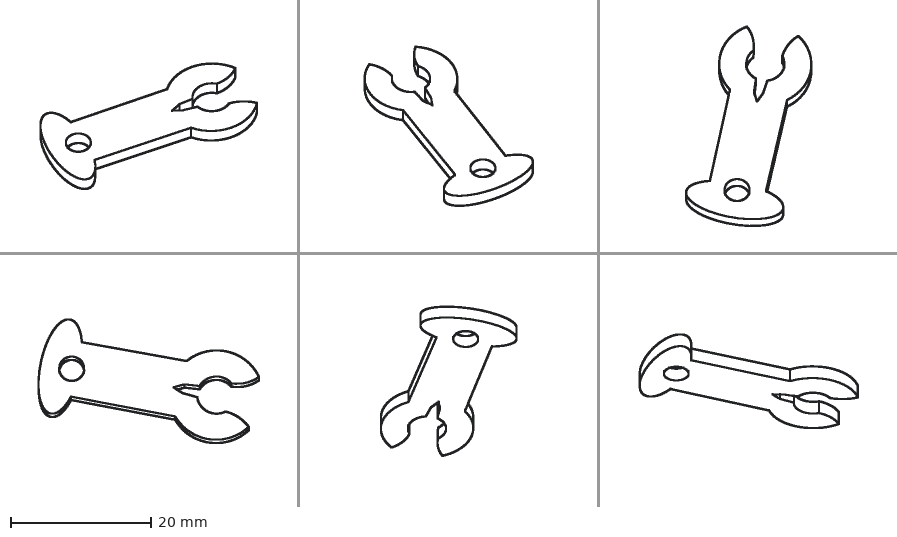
import cadquery as cq

length = 30.92
thickness = 2.0
foot_width = 14.1
foot_height = 5.75

hole_diameter = 3.55
hole_y = 4.5

stem_bottom_left = (-4.1, 5.2)
stem_bottom_right = (4.05, 5.2)
stem_top_left = (-4.33, 20.35)
stem_top_right = (4.0, 20.35)

jaw_x = -0.25
jaw_y = 25.45
jaw_radius = 6.6
bore_radius = 2.72
tip_left = (-4.05, length)
tip_right = (3.43, length)

throat_half_width = 2.1
throat_y = 27.25
flare_middle_half_width = 2.5
flare_middle_y = 29.05

slit_half_width = 0.85
slit_top_y = 22.88
slit_shoulder_half_width = 0.65
slit_shoulder_y = 20.72
slit_end = (-0.15, 19.25)


def beside_jaw_axis(offset, y):
    """Point at a sideways offset from the jaw centre line."""
    return (jaw_x + offset, y)


def make_foot():
    return (
        cq.Workplane("XY")
        .center(0, foot_height / 2)
        .ellipse(foot_width / 2, foot_height / 2)
        .extrude(thickness)
    )


def make_stem_and_jaws():
    foot_middle_y = foot_height / 2
    return (
        cq.Workplane("XY")
        .moveTo(stem_bottom_left[0], foot_middle_y)
        .lineTo(*stem_bottom_left)
        .lineTo(*stem_top_left)
        .threePointArc(beside_jaw_axis(-jaw_radius, jaw_y), tip_left)
        .threePointArc(
            beside_jaw_axis(-flare_middle_half_width, flare_middle_y),
            beside_jaw_axis(-throat_half_width, throat_y),
        )
        .threePointArc(
            beside_jaw_axis(-bore_radius, jaw_y),
            beside_jaw_axis(-slit_half_width, slit_top_y),
        )
        .lineTo(*beside_jaw_axis(-slit_shoulder_half_width, slit_shoulder_y))
        .lineTo(*slit_end)
        .lineTo(*beside_jaw_axis(slit_shoulder_half_width, slit_shoulder_y))
        .lineTo(*beside_jaw_axis(slit_half_width, slit_top_y))
        .threePointArc(
            beside_jaw_axis(bore_radius, jaw_y),
            beside_jaw_axis(throat_half_width, throat_y),
        )
        .threePointArc(
            beside_jaw_axis(flare_middle_half_width, flare_middle_y),
            tip_right,
        )
        .threePointArc(beside_jaw_axis(jaw_radius, jaw_y), stem_top_right)
        .lineTo(*stem_bottom_right)
        .lineTo(stem_bottom_right[0], foot_middle_y)
        .close()
        .extrude(thickness)
    )


def make_hole():
    return (
        cq.Workplane("XY")
        .center(0, hole_y)
        .circle(hole_diameter / 2)
        .extrude(thickness)
    )


result = make_foot().union(make_stem_and_jaws()).cut(make_hole())